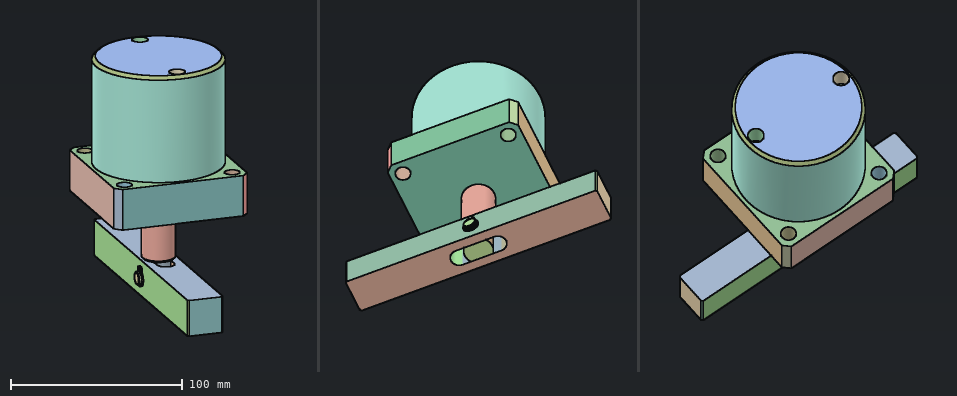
import cadquery as cq
import math

ARM_LENGTH = 160.0
ARM_WIDTH = 22.0
ARM_HEIGHT = 22.0
ARM_CHAMFER = 1.0
SLOT_LENGTH = 35.0
SLOT_WIDTH = 10.4

TOTAL_HEIGHT = 146.5
FLANGE_BOTTOM = 56.5
FLANGE_SIDE = 83.0
FLANGE_THICKNESS = 25.0
FLANGE_CORNER_CHAMFER = 4.0
BOLT_SPACING = 67.0
BOLT_HOLE_DIAMETER = 9.0
CYLINDER_DIAMETER = 78.0
CYLINDER_CHAMFER = 2.0
PORT_SPACING = 63.0
PORT_DIAMETER = 9.5
PORT_BOTTOM_DIAMETER = 8.5
PORT_DEPTH = 12.8
PORT_TAPER = math.degrees(math.atan((PORT_DIAMETER - PORT_BOTTOM_DIAMETER) / 2 / PORT_DEPTH))
FLANGE_TOP = FLANGE_BOTTOM + FLANGE_THICKNESS

ROD_DIAMETER = 20.0
ROD_CHAMFER = 1.3
TONGUE_DIAMETER = ROD_DIAMETER - 2 * ROD_CHAMFER

PIN_DIAMETER = 8.0
PIN_LENGTH = 27.5
PIN_CHAMFER = 0.5
PIN_HEIGHT = ARM_HEIGHT / 2
RING_DIAMETER = 9.5
RING_DROP = 0.3
RING_THICKNESS = 1.0
LUG_PAIR_WIDTH = 5.1
LUG_HEIGHT = 7.0
LUG_CORNER_RADIUS = 1.8
LUG_HOLE_DIAMETER = 1.3
RING_GAP = 1.6
LUG_HOLE_SPACING = LUG_PAIR_WIDTH - 2 * LUG_CORNER_RADIUS
LUG_HOLE_HEIGHT = LUG_HEIGHT - LUG_CORNER_RADIUS


def cylinder_along_y(diameter, length):
    """Cylinder centred on the hinge axis and on Y = 0."""
    return (
        cq.Workplane("XZ")
        .center(0, PIN_HEIGHT)
        .circle(diameter / 2)
        .extrude(length / 2, both=True)
    )


def make_housing():
    flange = (
        cq.Workplane("XY", origin=(0, 0, FLANGE_BOTTOM))
        .rect(FLANGE_SIDE, FLANGE_SIDE)
        .extrude(FLANGE_THICKNESS)
        .edges("|Z")
        .chamfer(FLANGE_CORNER_CHAMFER)
    )
    cylinder = (
        cq.Workplane("XY", origin=(0, 0, FLANGE_TOP))
        .circle(CYLINDER_DIAMETER / 2)
        .extrude(TOTAL_HEIGHT - FLANGE_TOP)
        .faces(">Z")
        .chamfer(CYLINDER_CHAMFER)
    )
    bolt_holes = (
        cq.Workplane("XY", origin=(0, 0, FLANGE_BOTTOM))
        .rect(BOLT_SPACING, BOLT_SPACING, forConstruction=True)
        .vertices()
        .circle(BOLT_HOLE_DIAMETER / 2)
        .extrude(FLANGE_THICKNESS)
    )
    ports = (
        cq.Workplane("XY", origin=(0, 0, TOTAL_HEIGHT))
        .pushPoints([(-PORT_SPACING / 2, 0), (PORT_SPACING / 2, 0)])
        .circle(PORT_DIAMETER / 2)
        .extrude(-PORT_DEPTH, taper=PORT_TAPER)
    )
    return flange.union(cylinder).cut(bolt_holes).cut(ports)


def make_rod():
    shaft = (
        cq.Workplane("XY", origin=(0, 0, ARM_HEIGHT))
        .circle(ROD_DIAMETER / 2)
        .extrude(FLANGE_BOTTOM - ARM_HEIGHT)
        .faces("<Z")
        .chamfer(ROD_CHAMFER)
    )
    flats = cq.Workplane("XY").rect(TONGUE_DIAMETER, SLOT_WIDTH).extrude(ARM_HEIGHT)
    tongue = cq.Workplane("XY").circle(TONGUE_DIAMETER / 2).extrude(ARM_HEIGHT).intersect(flats)
    return shaft.union(tongue).cut(cylinder_along_y(PIN_DIAMETER, ARM_WIDTH))


def make_arm():
    bar = (
        cq.Workplane("XY")
        .rect(ARM_LENGTH, ARM_WIDTH)
        .extrude(ARM_HEIGHT)
        .edges("|Z")
        .chamfer(ARM_CHAMFER)
    )
    slot = cq.Workplane("XY").slot2D(SLOT_LENGTH, SLOT_WIDTH).extrude(ARM_HEIGHT)
    return bar.cut(slot).cut(cylinder_along_y(PIN_DIAMETER, ARM_WIDTH))


def make_pin():
    return cylinder_along_y(PIN_DIAMETER, PIN_LENGTH).faces("<Y or >Y").chamfer(PIN_CHAMFER)


def make_retaining_ring(side):
    """Open ring lying on the arm's -Y face (side = -1) or +Y face (side = 1)."""
    face = cq.Workplane("XZ", origin=(0, side * ARM_WIDTH / 2, PIN_HEIGHT))
    depth = -side * RING_THICKNESS
    band = face.center(0, -RING_DROP).circle(RING_DIAMETER / 2).extrude(depth)
    lugs = (
        face.center(0, LUG_HEIGHT / 2)
        .rect(LUG_PAIR_WIDTH, LUG_HEIGHT)
        .extrude(depth)
        .edges("|Y and >Z")
        .fillet(LUG_CORNER_RADIUS)
    )
    lug_holes = (
        face.center(0, LUG_HOLE_HEIGHT)
        .pushPoints([(-LUG_HOLE_SPACING / 2, 0), (LUG_HOLE_SPACING / 2, 0)])
        .circle(LUG_HOLE_DIAMETER / 2)
        .extrude(depth)
    )
    gap = face.center(0, LUG_HEIGHT / 2).rect(RING_GAP, LUG_HEIGHT).extrude(depth)
    bore = face.circle(PIN_DIAMETER / 2).extrude(depth)
    return band.union(lugs).cut(lug_holes).cut(gap).cut(bore)


housing = make_housing()
rod = make_rod()
arm = make_arm()
pin = make_pin()
retaining_rings = [make_retaining_ring(side) for side in (-1, 1)]

result = cq.Compound.makeCompound(
    [housing.val(), rod.val(), arm.val(), pin.val(), *[ring.val() for ring in retaining_rings]]
)